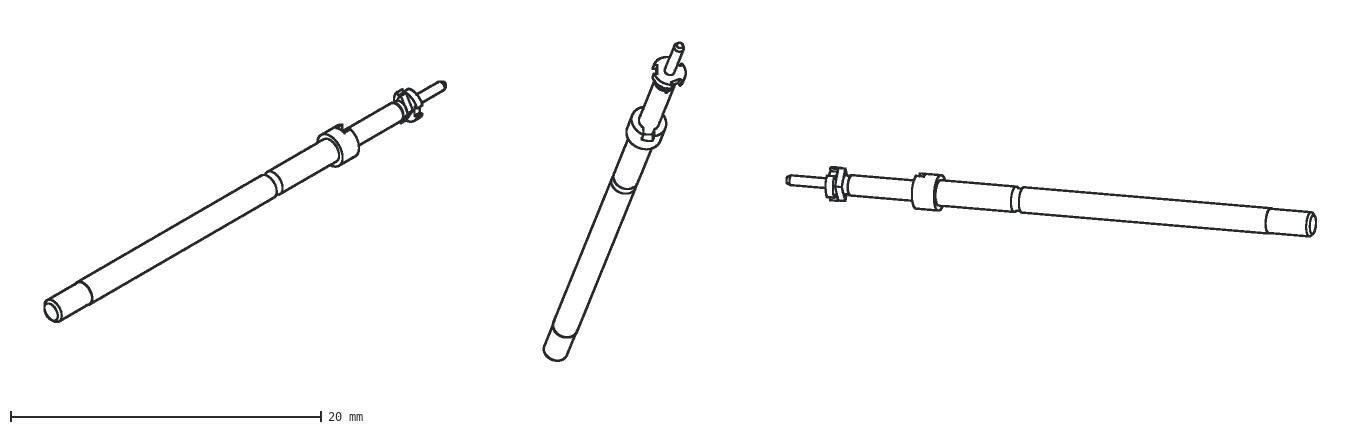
import cadquery as cq
import math

TOTAL_LENGTH = 36.0
CAP_LENGTH = 2.95
GROOVE_Y = 20.12
COLLAR_REAR_Y = 25.55
COLLAR_LENGTH = 1.5
STEM_FRONT_Y = 31.65
HEAD_REAR_Y = 32.05
HEAD_DISC_REAR_Y = 32.5
HEAD_FRONT_Y = 33.0

CAP_DIAMETER = 1.6
BODY_DIAMETER = 1.65
COLLAR_DIAMETER = 2.3
STEM_DIAMETER = 1.35
NECK_DIAMETER = 1.22
HEAD_DIAMETER = 2.15
PIN_DIAMETER = 0.65

REAR_CHAMFER = 0.18
TIP_TAPER_LENGTH = 0.25
TIP_TAPER_DEPTH = 0.1
GROOVE_WIDTH = 0.55
GROOVE_DEPTH = 0.1

COLLAR_NOTCH_WIDTH = 0.72
COLLAR_NOTCH_LENGTH = 0.55
HEAD_NOTCH_COUNT = 3
HEAD_NOTCH_WIDTH = 0.7
HEAD_NOTCH_FLOOR = 0.8
LOZENGE_HALF_WIDTH = 0.65
LOZENGE_SIDE_ANGLE = 60.0


def cylinder(diameter, start, end):
    """Solid cylinder on the Y axis between two positions."""
    return cq.Workplane("XZ", origin=(0, start, 0)).circle(diameter / 2).extrude(start - end)


def rear_body():
    """Body tube with a chamfered end cap and a rounded groove."""
    cap = cylinder(CAP_DIAMETER, 0, CAP_LENGTH).faces("<Y").chamfer(REAR_CHAMFER)
    tube = cylinder(BODY_DIAMETER, CAP_LENGTH, COLLAR_REAR_Y)
    radius = BODY_DIAMETER / 2
    groove = (
        cq.Workplane("XY")
        .moveTo(radius, GROOVE_Y - GROOVE_WIDTH / 2)
        .threePointArc((radius - GROOVE_DEPTH, GROOVE_Y), (radius, GROOVE_Y + GROOVE_WIDTH / 2))
        .close()
        .revolve(360, (0, 0, 0), (0, 1, 0))
    )
    return cap.union(tube).cut(groove)


def collar():
    """Stop collar with a notch across the top and bottom of its front edge."""
    front = COLLAR_REAR_Y + COLLAR_LENGTH
    notch = cq.Workplane("XY").box(COLLAR_NOTCH_WIDTH, 2 * COLLAR_NOTCH_LENGTH, COLLAR_DIAMETER)
    return cylinder(COLLAR_DIAMETER, COLLAR_REAR_Y, front).cut(notch.translate((0, front, 0)))


def plunger():
    """Stem, neck and contact pin, stepping down towards the tip."""
    stem = cylinder(STEM_DIAMETER, COLLAR_REAR_Y, STEM_FRONT_Y)
    neck = cylinder(NECK_DIAMETER, STEM_FRONT_Y, HEAD_REAR_Y)
    pin = cylinder(PIN_DIAMETER, HEAD_REAR_Y, TOTAL_LENGTH)
    pin = pin.faces(">Y").chamfer(TIP_TAPER_LENGTH, TIP_TAPER_DEPTH)
    return stem.union(neck).union(pin)


def head():
    """Notched disc backed by a lozenge trimmed to the disc diameter."""
    disc = cylinder(HEAD_DIAMETER, HEAD_DISC_REAR_Y, HEAD_FRONT_Y)
    notch_depth = HEAD_DIAMETER / 2
    notch_length = 2 * (HEAD_FRONT_Y - HEAD_DISC_REAR_Y)
    for index in range(HEAD_NOTCH_COUNT):
        notch = (
            cq.Workplane("XY")
            .box(notch_depth, notch_length, HEAD_NOTCH_WIDTH)
            .translate((HEAD_NOTCH_FLOOR + notch_depth / 2, HEAD_FRONT_Y, 0))
            .rotate((0, 0, 0), (0, 1, 0), index * 360 / HEAD_NOTCH_COUNT)
        )
        disc = disc.cut(notch)

    half_height = LOZENGE_HALF_WIDTH * math.tan(math.radians(LOZENGE_SIDE_ANGLE))
    corners = [(LOZENGE_HALF_WIDTH, 0), (0, half_height), (-LOZENGE_HALF_WIDTH, 0), (0, -half_height)]
    lozenge = (
        cq.Workplane("XZ", origin=(0, HEAD_REAR_Y, 0))
        .polyline(corners)
        .close()
        .extrude(HEAD_REAR_Y - HEAD_DISC_REAR_Y)
        .intersect(cylinder(HEAD_DIAMETER, HEAD_REAR_Y, HEAD_DISC_REAR_Y))
    )
    return disc.union(lozenge)


result = rear_body().union(plunger()).union(collar()).union(head())